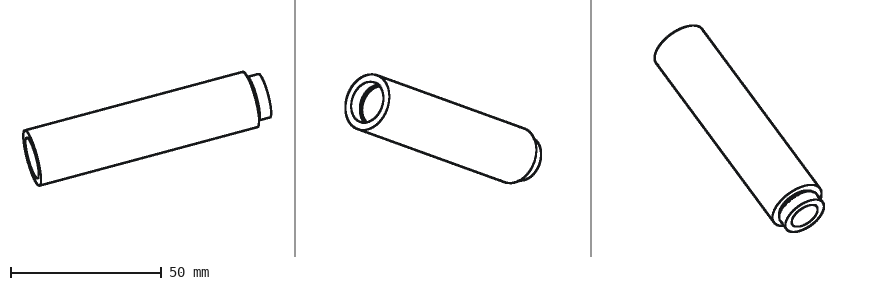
import cadquery as cq

total_length = 81.2
body_diameter = 19.1

collar_diameter = 15.0
collar_length = 4.0
neck_diameter = 14.0
neck_length = 1.0

mouth_diameter = neck_diameter
mouth_depth = 4.5
groove_diameter = collar_diameter
groove_width = neck_length

bore_diameter = 13.5
spigot_hole_diameter = 10.1

body_length = total_length - collar_length - neck_length
wall_thickness = (body_diameter - bore_diameter) / 2
bore_depth = body_length - wall_thickness


def cylinder(diameter, start, length):
    """Solid cylinder on the Y axis, running from start towards +Y."""
    plane = cq.Plane(origin=(0, start, 0), xDir=(1, 0, 0), normal=(0, 1, 0))
    return cq.Workplane(plane).circle(diameter / 2).extrude(length)


def make_outside():
    """Body with the neck and collar of the spigot."""
    body = cylinder(body_diameter, 0, body_length)
    neck = cylinder(neck_diameter, body_length, neck_length)
    collar = cylinder(collar_diameter, body_length + neck_length, collar_length)
    return body.union(neck).union(collar)


def make_inside():
    """Stepped cavity running through the whole part."""
    spigot_hole = cylinder(spigot_hole_diameter, 0, total_length)
    bore = cylinder(bore_diameter, 0, bore_depth)
    mouth = cylinder(mouth_diameter, 0, mouth_depth)
    groove = cylinder(groove_diameter, mouth_depth, groove_width)
    return spigot_hole.union(bore).union(mouth).union(groove)


result = make_outside().cut(make_inside())